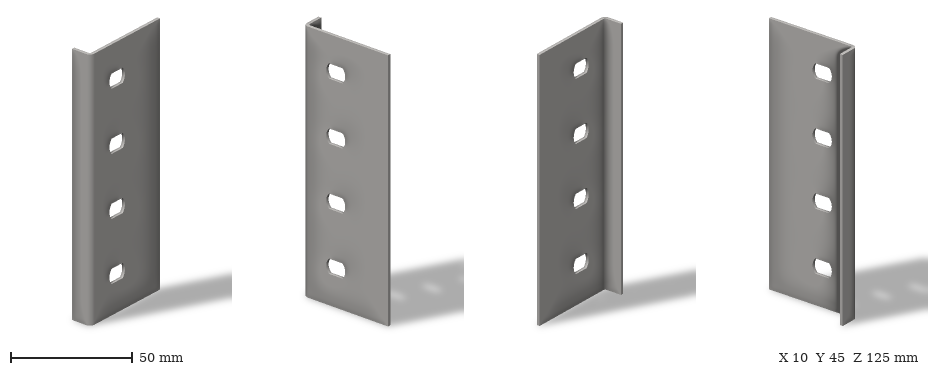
import cadquery as cq
import math

length = 125.0
web_width = 45.0
lip_width = 10.0
thickness = 1.5
inner_bend_radius = 1.0
outer_bend_radius = inner_bend_radius + thickness

opening_diameter = 10.0
opening_height = 7.0
opening_count = 4
opening_pitch = 30.0
first_opening_z = 18.0
opening_y = 17.25
cut_overrun = 1.0


def folded_sheet():
    """L-shaped profile with a rounded fold, extruded along Z."""
    bend_x = lip_width - outer_bend_radius
    bend_y = outer_bend_radius
    diagonal = math.cos(math.pi / 4)
    outer_mid = (bend_x + outer_bend_radius * diagonal, bend_y - outer_bend_radius * diagonal)
    inner_mid = (bend_x + inner_bend_radius * diagonal, bend_y - inner_bend_radius * diagonal)
    return (
        cq.Workplane("XY")
        .moveTo(0, 0)
        .lineTo(bend_x, 0)
        .threePointArc(outer_mid, (lip_width, bend_y))
        .lineTo(lip_width, web_width)
        .lineTo(lip_width - thickness, web_width)
        .lineTo(lip_width - thickness, bend_y)
        .threePointArc(inner_mid, (bend_x, thickness))
        .lineTo(0, thickness)
        .close()
        .extrude(length)
    )


def opening_cutter(center_z):
    """Double-flat opening passing through the web in X."""
    radius = opening_diameter / 2
    half_height = opening_height / 2
    half_flat = math.sqrt(radius**2 - half_height**2)
    return (
        cq.Workplane("YZ", origin=(lip_width - thickness - cut_overrun, opening_y, center_z))
        .moveTo(-half_flat, -half_height)
        .lineTo(half_flat, -half_height)
        .threePointArc((radius, 0), (half_flat, half_height))
        .lineTo(-half_flat, half_height)
        .threePointArc((-radius, 0), (-half_flat, -half_height))
        .close()
        .extrude(thickness + 2 * cut_overrun)
    )


result = folded_sheet()
for index in range(opening_count):
    result = result.cut(opening_cutter(first_opening_z + index * opening_pitch))